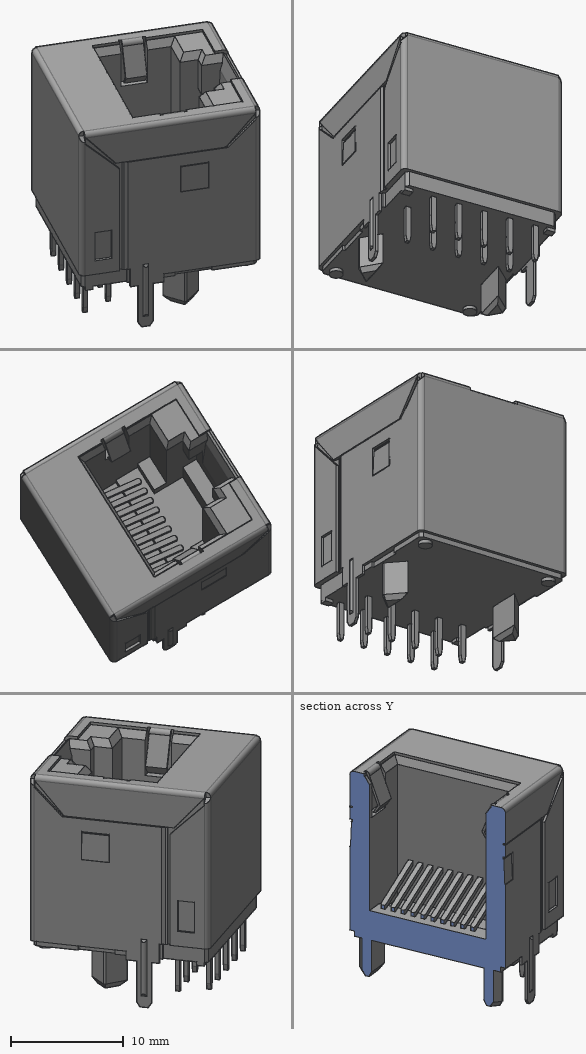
import cadquery as cq
import math


total_height = 20.83
shield_width = 16.0
shield_depth = 16.7
shield_top = 16.18
rear_shield_bottom = 0.5
front_shield_bottom = 1.5
front_shield_end_y = -3.7
bend_radius = 0.45
sheet = 0.25
half_width = shield_width / 2
half_depth = shield_depth / 2
liner_half_width = half_width - sheet
insert_top = shield_top - sheet

foot_inset = 0.3
foot_half_depth = half_depth - foot_inset
foot_narrow_half = liner_half_width - sheet
foot_corner = 0.3
side_recess_y = (0.48, 3.9)
foot_overlap = 0.42

flap_bottom_z = 12.66
flap_bottom_half = 5.1
flap_top_z = 15.73
flap_top_half = 7.85
panel_top_z = 15.08
panel_top_half = 7.9
panel_corner_z = 12.58
panel_corner_half = 5.3
joggle_depth = 0.12
joggle_start_y = -3.94
joggle_floor_y = -4.27
joggle_end_y = -4.44
front_panel_y = -4.7
front_panel_corner_z = 12.0
latch_window_y = (0.94, 3.52)
latch_window_z = (8.7, 11.37)
latch_window_shallow = 0.06
latch_window_deep = 0.17
latch_window_ramp_top = 11.19
small_window_y = (-6.98, -5.42)
small_window_z = (2.9, 5.81)

opening_half = 6.48
opening_front_y = -3.06
opening_rear_y = 7.1
lead_in = 0.48
lead_in_depth = 0.7
front_lead_in = 0.35
mouth_half = 6.42
mouth_shoulder_y = 4.52
mouth_key_half = 3.56
mouth_key_y = 6.2
mouth_latch_half = 2.5
mouth_latch_y = 7.85
latch_notch_half = 2.55
latch_ledge_y = 8.12
latch_ledge_z = 15.73
cavity_front_y = opening_front_y + front_lead_in
cavity_half = mouth_half - lead_in
cavity_shoulder_y = mouth_shoulder_y - lead_in
key_half = mouth_key_half - lead_in
key_y = mouth_key_y - lead_in
latch_half = mouth_latch_half - lead_in
latch_wall_knee_y = 7.45
latch_wall_knee_z = 14.45
latch_wall_low_y = 7.05
cavity_top = insert_top - lead_in_depth
latch_wall_slope = (mouth_latch_y - latch_wall_knee_y) / (insert_top - latch_wall_knee_z)
latch_wall_top_y = mouth_latch_y - latch_wall_slope * lead_in_depth
floor_low_z = 2.08
floor_mid_z = 2.92
floor_pad_z = 4.17
floor_latch_z = 6.25
floor_step_y = 0.52
pad_step_y = 2.77
latch_pocket_top = 12.23
latch_pocket_y = 7.15

finger_y = (-0.33, 1.62)
finger_slot_y = (-0.56, 1.87)
finger_root_x = 6.73
finger_shoulder_x = 6.3
finger_tip_x = 5.2
finger_knee_z = 13.02
finger_end_z = 12.3
finger_return_x = 5.7
finger_slot_bottom = 11.87

contact_count = 10
contact_pitch = 1.02
contact_width = 0.5
contact_thickness = 0.42
contact_tip_radius = 0.23
contact_tip_y = 2.3
contact_tip_z = 3.75
contact_root_z = 6.25
contact_embed = 0.2
contact_root_y = cavity_front_y - contact_embed

pin_pitch = 1.27
pin_row_y = (-4.77, -7.27)
pin_width = 0.5
pin_thickness = 0.4
pin_tip_width = 0.3
pin_tip_z = -3.02
pin_end_z = -3.6

post_y = 1.58
post_outer_x = 7.3
post_inner_x = 5.75
post_flat = 0.23
post_nose_inset = 0.27
post_taper_z = -3.1
post_end_z = -3.6
standoff_height = 0.33
front_standoff_x = (6.69, foot_narrow_half)
front_standoff_y = (-7.7, -7.02)
rear_standoff_x = 6.67
rear_standoff_y = 7.23
rear_standoff_diameter = 1.23

tab_shoulder_y = (front_shield_end_y, -0.62)
tab_center_y = -2.3
tab_width = 1.37
tab_end_z = shield_top - total_height
tab_tip_width = 0.75
tab_tip_height = 0.45
rib_width = 0.52
rib_height = 0.156
rib_z = (-3.58, 1.8)
rib_ramp = 0.25


def block(x_range, y_range, z_range):
    """Axis-aligned box between the given limits."""
    size = [limits[1] - limits[0] for limits in (x_range, y_range, z_range)]
    corner = (x_range[0], y_range[0], z_range[0])
    return cq.Workplane("XY").box(*size, centered=False).translate(corner)


def both_sides(shape):
    """The shape together with its mirror image across X = 0."""
    return shape.union(shape.mirror("YZ"))


def side_prism(points, x_start, thickness):
    """(y, z) outline extruded toward +X."""
    return cq.Workplane("YZ", origin=(x_start, 0, 0)).polyline(points).close().extrude(thickness)


def symmetric_outline(right_half):
    """Close a right-hand (x, y) chain with its mirrored left-hand chain."""
    return right_half + [(-x, y) for x, y in reversed(right_half)]


def make_shield():
    z_range = (rear_shield_bottom, shield_top)
    body = block((-half_width, half_width), (-half_depth, half_depth), z_range)
    body = body.edges("|Z or >Z").fillet(bend_radius)
    below_front = block(
        (-half_width, half_width),
        (-half_depth, front_shield_end_y),
        (rear_shield_bottom, front_shield_bottom),
    )
    body = body.cut(below_front)
    inner_x = half_width - bend_radius
    notch_outline = [
        (inner_x, shield_top),
        (half_width, shield_top),
        (half_width, shield_top - 2 * bend_radius),
        (inner_x, shield_top - bend_radius),
    ]
    notch = (
        cq.Workplane("XZ", origin=(0, half_depth, 0)).polyline(notch_outline).close().extrude(bend_radius)
    )
    notch_pair = both_sides(notch)
    return body.cut(notch_pair).cut(notch_pair.mirror("XZ"))


def make_foot():
    recess_front, recess_rear = side_recess_y
    right_half = [
        (foot_narrow_half - foot_corner, -foot_half_depth),
        (foot_narrow_half, -foot_half_depth + foot_corner),
        (foot_narrow_half, joggle_start_y),
        (liner_half_width, joggle_start_y),
        (liner_half_width, recess_front),
        (foot_narrow_half, recess_front),
        (foot_narrow_half, recess_rear),
        (liner_half_width, recess_rear),
        (liner_half_width, foot_half_depth - foot_corner),
        (liner_half_width - foot_corner, foot_half_depth),
    ]
    outline = symmetric_outline(right_half)
    return cq.Workplane("XY").polyline(outline).close().extrude(front_shield_bottom + foot_overlap)


def make_side_cuts():
    """Seams, joggle and windows on the +X side."""
    seam_half = [
        (flap_top_half, flap_top_z),
        (panel_top_half, panel_top_z),
        (panel_corner_half, panel_corner_z),
    ]
    flap_edge = [(-flap_bottom_half, flap_bottom_z), (flap_bottom_half, flap_bottom_z)]
    seam = side_prism(symmetric_outline(seam_half) + flap_edge, liner_half_width, sheet)
    corner_gap = side_prism(
        [
            (-panel_corner_half, panel_corner_z),
            (front_panel_y, panel_corner_z),
            (front_panel_y, front_panel_corner_z),
        ],
        liner_half_width,
        sheet,
    )
    joggle = (
        cq.Workplane("XY", origin=(0, 0, front_shield_bottom))
        .moveTo(half_width, joggle_start_y)
        .lineTo(half_width - joggle_depth, joggle_floor_y)
        .lineTo(half_width - joggle_depth, joggle_end_y)
        .lineTo(liner_half_width, joggle_end_y)
        .lineTo(liner_half_width, front_panel_y)
        .lineTo(half_width, front_panel_y)
        .close()
        .extrude(panel_corner_z - front_shield_bottom)
    )
    window_bottom, window_top = latch_window_z
    latch_window = (
        cq.Workplane("XZ", origin=(0, latch_window_y[1], 0))
        .moveTo(half_width, window_bottom)
        .lineTo(half_width - latch_window_shallow, window_bottom)
        .lineTo(half_width - latch_window_deep, latch_window_ramp_top)
        .lineTo(liner_half_width, latch_window_ramp_top)
        .lineTo(liner_half_width, window_top)
        .lineTo(half_width, window_top)
        .close()
        .extrude(latch_window_y[1] - latch_window_y[0])
    )
    small_window = block((liner_half_width, half_width), small_window_y, small_window_z)
    return seam.union(corner_gap).union(joggle).union(latch_window).union(small_window)


def mouth_half_outline(half, front, shoulder, inner_half, inner_rear, slot_half, slot_rear):
    """Right half of the stepped plug outline, from the front wall to the latch slot."""
    return [
        (half, front),
        (half, shoulder),
        (inner_half, shoulder),
        (inner_half, inner_rear),
        (slot_half, inner_rear),
        (slot_half, slot_rear),
    ]


def make_cavity():
    sheet_opening = block(
        (-opening_half, opening_half), (opening_front_y, opening_rear_y), (insert_top, shield_top)
    )
    latch_notch = side_prism(
        [
            (mouth_key_y, shield_top),
            (mouth_key_y, insert_top),
            (mouth_latch_y, insert_top),
            (latch_ledge_y, latch_ledge_z),
            (half_depth, latch_ledge_z),
            (half_depth, shield_top),
        ],
        -latch_notch_half,
        2 * latch_notch_half,
    )
    mouth = mouth_half_outline(
        mouth_half, opening_front_y, mouth_shoulder_y,
        mouth_key_half, mouth_key_y, mouth_latch_half, mouth_latch_y,
    )
    throat = mouth_half_outline(
        cavity_half, cavity_front_y, cavity_shoulder_y,
        key_half, key_y, latch_half, latch_wall_top_y,
    )
    lead_in_cut = (
        cq.Workplane("XY", origin=(0, 0, cavity_top))
        .polyline(symmetric_outline(throat))
        .close()
        .workplane(offset=lead_in_depth)
        .polyline(symmetric_outline(mouth))
        .close()
        .loft(ruled=True)
    )
    full_x = (-cavity_half, cavity_half)
    key_x = (-key_half, key_half)
    front_well = block(full_x, (cavity_front_y, floor_step_y), (floor_low_z, cavity_top))
    mid_well = block(full_x, (floor_step_y, pad_step_y), (floor_mid_z, cavity_top))
    pads = block(full_x, (pad_step_y, cavity_shoulder_y), (floor_pad_z, cavity_top))
    key_well = block(key_x, (pad_step_y, key_y), (floor_mid_z, cavity_top))
    latch_pocket = block(key_x, (key_y, latch_pocket_y), (floor_latch_z, latch_pocket_top))
    latch_slot = side_prism(
        [
            (key_y, cavity_top),
            (latch_wall_top_y, cavity_top),
            (latch_wall_knee_y, latch_wall_knee_z),
            (latch_wall_low_y, floor_latch_z),
            (key_y, floor_latch_z),
        ],
        -latch_half,
        2 * latch_half,
    )
    cavity = sheet_opening
    for space in (latch_notch, lead_in_cut, front_well, mid_well, pads, key_well, latch_pocket, latch_slot):
        cavity = cavity.union(space)
    finger_slot = block((finger_tip_x, finger_root_x), finger_slot_y, (finger_slot_bottom, shield_top))
    return cavity.union(both_sides(finger_slot))


def make_finger():
    """Sheet strip curling down from the +X rim, then kinking back outward."""
    bend = finger_root_x - finger_shoulder_x
    return (
        cq.Workplane("XZ", origin=(0, finger_y[1], 0))
        .moveTo(finger_root_x, shield_top)
        .radiusArc((finger_shoulder_x, shield_top - bend), -bend)
        .lineTo(finger_tip_x, finger_knee_z)
        .lineTo(finger_return_x, finger_end_z)
        .lineTo(finger_return_x + sheet, finger_end_z)
        .lineTo(finger_tip_x + sheet, finger_knee_z)
        .lineTo(finger_shoulder_x + sheet, shield_top - bend)
        .lineTo(finger_root_x, insert_top)
        .close()
        .extrude(finger_y[1] - finger_y[0])
    )


def row_positions(count, pitch):
    """Positions of an evenly spaced row centred on zero."""
    return [(i - (count - 1) / 2) * pitch for i in range(count)]


def make_contacts():
    """Sloping wires reaching down from the front wall over the cavity floor."""
    profile = [
        (contact_root_y, contact_root_z),
        (contact_tip_y, contact_tip_z),
        (contact_tip_y, contact_tip_z - contact_thickness),
        (contact_root_y, contact_root_z - contact_thickness),
    ]
    wire = side_prism(profile, -contact_width / 2, contact_width)
    wire = wire.edges("|Z and >Y").fillet(contact_tip_radius)
    return [wire.translate((x, 0, 0)) for x in row_positions(contact_count, contact_pitch)]


def make_pins():
    """Two staggered rows of solder pins with tapered tips."""
    shaft = cq.Workplane("XY").rect(pin_width, pin_thickness).extrude(pin_tip_z)
    tip = (
        cq.Workplane("XY", origin=(0, 0, pin_tip_z))
        .rect(pin_width, pin_thickness)
        .workplane(offset=pin_end_z - pin_tip_z)
        .rect(pin_tip_width, pin_thickness)
        .loft(ruled=True)
    )
    pin = shaft.union(tip)
    return [
        pin.translate((x, pin_row_y[index % 2], 0))
        for index, x in enumerate(row_positions(contact_count, pin_pitch))
    ]


def make_post():
    """Wedge-shaped post on the +X side, its blunt ridge facing outward."""
    ridge = post_flat / 2
    half_base = ridge + post_outer_x - post_inner_x
    outline = [
        (post_inner_x, post_y - half_base),
        (post_outer_x, post_y - ridge),
        (post_outer_x, post_y + ridge),
        (post_inner_x, post_y + half_base),
    ]
    shaft = cq.Workplane("XY").polyline(outline).close().extrude(post_taper_z)
    nose_angle = math.degrees(math.atan2(post_nose_inset, post_taper_z - post_end_z))
    nose = shaft.faces("<Z").wires().toPending().extrude(post_end_z - post_taper_z, taper=nose_angle)
    return shaft.union(nose)


def make_standoffs():
    front = block(front_standoff_x, front_standoff_y, (-standoff_height, 0))
    rear = (
        cq.Workplane("XY")
        .center(rear_standoff_x, rear_standoff_y)
        .circle(rear_standoff_diameter / 2)
        .extrude(-standoff_height)
    )
    return front.union(rear)


def make_ground_tab():
    """Shield tab on the +X side with its stiffening rib."""
    half_tab = tab_width / 2
    half_tip = tab_tip_width / 2
    shoulder = block(
        (liner_half_width, half_width), tab_shoulder_y, (-standoff_height, front_shield_bottom)
    )
    blade_outline = [
        (tab_center_y - half_tab, 0),
        (tab_center_y - half_tab, tab_end_z + tab_tip_height),
        (tab_center_y - half_tip, tab_end_z),
        (tab_center_y + half_tip, tab_end_z),
        (tab_center_y + half_tab, tab_end_z + tab_tip_height),
        (tab_center_y + half_tab, 0),
    ]
    blade = side_prism(blade_outline, liner_half_width, sheet)
    half_rib = rib_width / 2
    rib = (
        cq.Workplane("XY", origin=(0, 0, rib_z[0]))
        .moveTo(half_width, tab_center_y - half_rib)
        .threePointArc((half_width + rib_height, tab_center_y), (half_width, tab_center_y + half_rib))
        .close()
        .extrude(rib_z[1] - rib_z[0])
    )
    rib_bottom, rib_top = rib_z
    rib_outline = [
        (half_width, rib_bottom),
        (half_width + rib_height, rib_bottom + rib_ramp),
        (half_width + rib_height, rib_top - rib_ramp),
        (half_width, rib_top),
    ]
    ramped = (
        cq.Workplane("XZ", origin=(0, tab_center_y + half_rib, 0))
        .polyline(rib_outline)
        .close()
        .extrude(rib_width)
    )
    return shoulder.union(blade).union(rib.intersect(ramped))


jack = make_shield().union(make_foot())
jack = jack.cut(both_sides(make_side_cuts())).cut(make_cavity())
for side_part in (make_finger(), make_post(), make_standoffs(), make_ground_tab()):
    jack = jack.union(both_sides(side_part))
for wire_or_pin in make_contacts() + make_pins():
    jack = jack.union(wire_or_pin)

result = jack